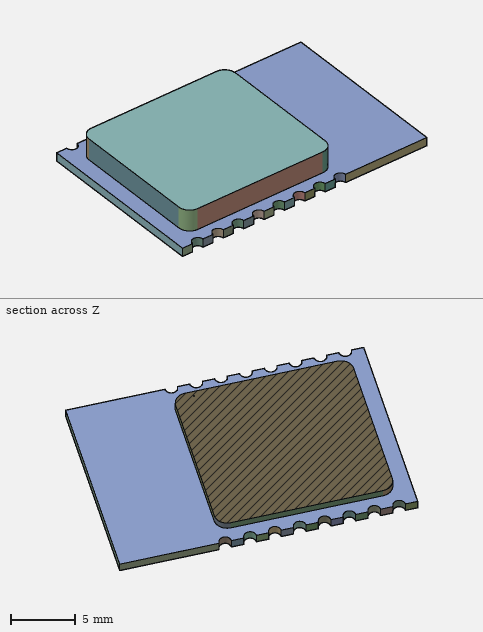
import cadquery as cq

board_width = 16.0
board_length = 24.0
board_thickness = 0.8

shield_width = 13.5
shield_length = 14.36
shield_height = 2.0
shield_corner_radius = 1.04
shield_front_margin = 1.42

contact_count = 8
contact_pitch = 2.0
contact_radius = 0.5
first_contact_offset = 1.5

front_edge_y = -board_length / 2


def make_board():
    """Flat board, centred on X and Y, with its underside at Z = 0."""
    return cq.Workplane("XY").box(
        board_width, board_length, board_thickness, centered=(True, True, False)
    )


def make_contact_cutters():
    """Cylinders centred on both side edges, one per edge contact."""
    centers = []
    for side_x in (-board_width / 2, board_width / 2):
        for index in range(contact_count):
            contact_y = front_edge_y + first_contact_offset + index * contact_pitch
            centers.append((side_x, contact_y))
    return cq.Workplane("XY").pushPoints(centers).circle(contact_radius).extrude(board_thickness)


def make_shield():
    """Solid shield block with rounded vertical corners, resting on the board."""
    shield_center_y = front_edge_y + shield_front_margin + shield_length / 2
    return (
        cq.Workplane("XY", origin=(0, shield_center_y, board_thickness))
        .rect(shield_width, shield_length)
        .extrude(shield_height)
        .edges("|Z")
        .fillet(shield_corner_radius)
    )


result = make_board().cut(make_contact_cutters()).union(make_shield())